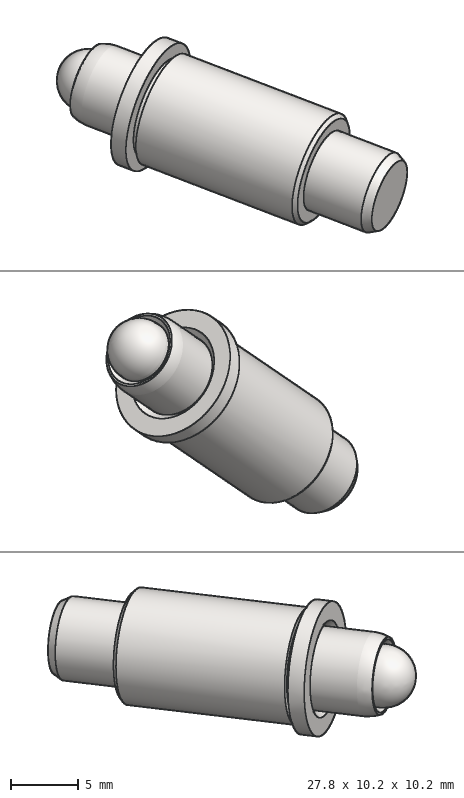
import cadquery as cq
import math


flange_radius = 10.16 / 2
flange_thickness = 1.27
groove_radius = 7.8 / 2
groove_width = 0.48
barrel_radius = 8.84 / 2
bushing_length = 15.24
barrel_chamfer = 0.3
countersink_radius = 7.32 / 2
countersink_angle = 45

plunger_radius = 6.35 / 2
plunger_rear = 20.8
rear_chamfer_length = 0.7
rear_chamfer_drop = 0.38
nose_length = 1.1
nose_drop = 0.25
seat_mouth_radius = 2.75
seat_mouth_angle = 45

overall_length = 27.78
tip_radius = 4.76 / 2
shank_length = 4.76
plunger_front = plunger_rear - overall_length + tip_radius
shank_end = plunger_front + shank_length


def revolve_about_x(profile):
    """Turn a closed XY half-profile about the X axis."""
    return profile.close().revolve(360, (0, 0, 0), (1, 0, 0))


def make_bushing():
    """Flanged bushing with a relief groove and a bore countersunk at the flange face."""
    groove_end = flange_thickness + groove_width
    countersink_depth = (countersink_radius - plunger_radius) / math.tan(math.radians(countersink_angle))
    profile = (
        cq.Workplane("XY")
        .moveTo(0, countersink_radius)
        .lineTo(0, flange_radius)
        .lineTo(flange_thickness, flange_radius)
        .lineTo(flange_thickness, groove_radius)
        .lineTo(groove_end, groove_radius)
        .lineTo(groove_end, barrel_radius)
        .lineTo(bushing_length - barrel_chamfer, barrel_radius)
        .lineTo(bushing_length, barrel_radius - barrel_chamfer)
        .lineTo(bushing_length, plunger_radius)
        .lineTo(countersink_depth, plunger_radius)
    )
    return revolve_about_x(profile)


def make_plunger():
    """Plunger with a rounded nose, a chamfered rear end and a countersunk blind hole for the tip."""
    nose_end = plunger_front + nose_length
    nose_arc_radius = (nose_length**2 + nose_drop**2) / (2 * nose_drop)
    nose_half_angle = math.asin(nose_length / nose_arc_radius) / 2
    nose_middle = (
        nose_end - nose_arc_radius * math.sin(nose_half_angle),
        plunger_radius - nose_arc_radius * (1 - math.cos(nose_half_angle)),
    )
    mouth_depth = (seat_mouth_radius - tip_radius) / math.tan(math.radians(seat_mouth_angle))
    profile = (
        cq.Workplane("XY")
        .moveTo(shank_end, 0)
        .lineTo(shank_end, tip_radius)
        .lineTo(plunger_front + mouth_depth, tip_radius)
        .lineTo(plunger_front, seat_mouth_radius)
        .lineTo(plunger_front, plunger_radius - nose_drop)
        .threePointArc(nose_middle, (nose_end, plunger_radius))
        .lineTo(plunger_rear - rear_chamfer_length, plunger_radius)
        .lineTo(plunger_rear, plunger_radius - rear_chamfer_drop)
        .lineTo(plunger_rear, 0)
    )
    return revolve_about_x(profile)


def make_tip():
    """Half-ball tip on a cylindrical shank that fills the plunger's hole."""
    half_ball_middle = (
        plunger_front - tip_radius * math.sqrt(0.5),
        tip_radius * math.sqrt(0.5),
    )
    profile = (
        cq.Workplane("XY")
        .moveTo(plunger_front - tip_radius, 0)
        .threePointArc(half_ball_middle, (plunger_front, tip_radius))
        .lineTo(shank_end, tip_radius)
        .lineTo(shank_end, 0)
    )
    return revolve_about_x(profile)


bushing = make_bushing()
plunger = make_plunger()
tip = make_tip()

result = cq.Compound.makeCompound([bushing.val(), plunger.val(), tip.val()])